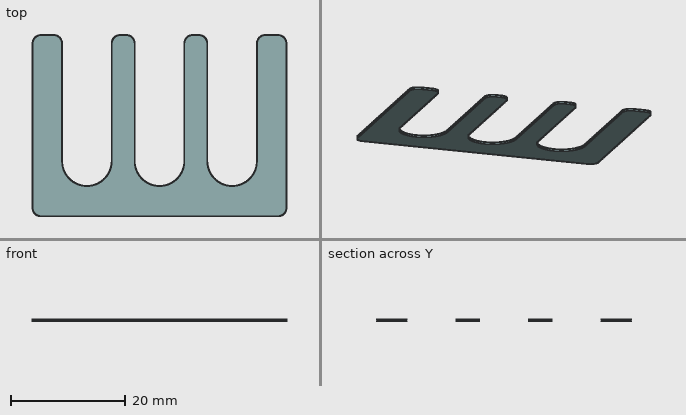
import cadquery as cq

plate_width = 44.45
plate_depth = 31.75
plate_thickness = 0.381

slot_count = 3
slot_pitch = 12.7
slot_width = 8.636
web_depth = 5.334

corner_radius = 1.524

rear_edge = plate_depth / 2
front_edge = -plate_depth / 2
slot_radius = slot_width / 2
slot_arc_center_y = front_edge + web_depth + slot_radius


def make_plate():
    """Flat rectangular blank resting on Z = 0."""
    return cq.Workplane("XY").rect(plate_width, plate_depth).extrude(plate_thickness)


def make_slot(center_x):
    """Slot cutter with a round closed end, open through the rear edge."""
    return (
        cq.Workplane("XY")
        .moveTo(center_x - slot_radius, rear_edge)
        .lineTo(center_x - slot_radius, slot_arc_center_y)
        .threePointArc(
            (center_x, slot_arc_center_y - slot_radius),
            (center_x + slot_radius, slot_arc_center_y),
        )
        .lineTo(center_x + slot_radius, rear_edge)
        .close()
        .extrude(plate_thickness)
    )


def round_corners(plate):
    """Round the vertical edges on the front and rear faces of the plate."""
    rounded = plate.faces("<Y").edges("|Z").fillet(corner_radius)
    return rounded.faces(">Y").edges("|Z").fillet(corner_radius)


comb = make_plate()
for index in range(slot_count):
    slot_center_x = (index - (slot_count - 1) / 2) * slot_pitch
    comb = comb.cut(make_slot(slot_center_x))

result = round_corners(comb)